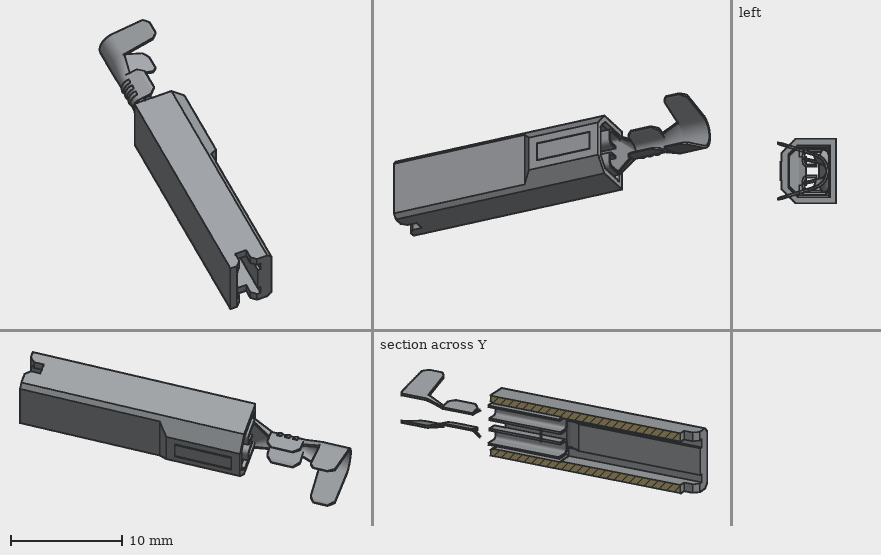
import cadquery as cq
import math


overall_length = 30.05
extra = 0.3

housing_start = 9.15
housing_half_width = 2.9
housing_low_height = 4.05
ridge_height = 4.93
corner_chamfer = 1.3
ridge_flat_end = 16.07

notch_depth = 1.35
notch_low = 1.08
notch_high = 2.15
notch_chamfer = 0.45

mouth_floor = 0.55
mouth_roof = 4.33
mouth_half_width = 2.35
mouth_chamfer = 0.87
lead_in_length = 0.35
cavity_floor = 0.7
cavity_roof = 4.25
cavity_half_width = 2.15
cavity_chamfer = 0.8
cavity_end = 16.4
cavity_end_roof = 3.33
passage_roof = 2.97
passage_half_width = 2.07
passage_chamfer = 0.27
rib_half_width = 1.3
rib_bottom = 2.7
rib_slope_length = 1.2

label_start = 9.97
label_end = 15.25
label_half_width = 0.85
label_thickness = 0.1

sheet = 0.2
wing_tip_bevel = 0.05
terminal_floor = cavity_floor
flare_flat = 0.03

insulation_end = 2.58
insulation_radius = 1.65
insulation_tilt = 17.2
insulation_root = 1.85
insulation_shoulder = 4.8
insulation_tip = 5.25
insulation_tip_start = 0.87
insulation_tip_end = 2.2
insulation_taper = 0.27
insulation_lean = 0.3

wire_start = 4.27
wire_end = 7.35
wire_radius = 0.87
wire_tilt = 12.6
wire_shoulder = 2.43
wire_tip = 3.0
wire_tip_inset = 0.55
wire_taper = 0.4
bead_positions = (5.05, 5.8, 6.55)
bead_width = 0.42
bead_height = 0.1

neck_rim_rise = 0.1
wire_neck_rim = 1.75
flare_rim = 1.25

receptacle_start = 8.95
receptacle_end = 16.22
receptacle_half_width = 1.92
bend_radius = 0.48
curl_top = 3.03
curl_flank = 0.4
curl_lip = 1.75
tongue_start = 12.02
tongue_end = 14.42
tongue_half_width = 0.6
tongue_top = 1.55


def chamfered_section(x, floor, roof, half_width, chamfer):
    """Rectangle across X whose two roof corners are cut at 45 degrees."""
    side_top = roof - chamfer
    return cq.Workplane("YZ", origin=(x, 0, 0)).polyline([
        (floor, -half_width),
        (side_top, -half_width),
        (roof, chamfer - half_width),
        (roof, half_width - chamfer),
        (side_top, half_width),
        (floor, half_width),
    ]).close()


def side_prism(points, half_width):
    """Prism with an outline in X and Y, extruded both ways from Z = 0."""
    return cq.Workplane("XY").polyline(points).close().extrude(half_width, both=True)


def housing_outside():
    body = chamfered_section(
        housing_start, 0, ridge_height, housing_half_width, corner_chamfer
    ).extrude(overall_length - housing_start)
    slope_end = ridge_flat_end + ridge_height - housing_low_height
    above_low_part = side_prism([
        (ridge_flat_end, ridge_height),
        (slope_end, housing_low_height),
        (overall_length + extra, housing_low_height),
        (overall_length + extra, ridge_height),
    ], housing_half_width)
    return body.cut(above_low_part)


def end_notch():
    notch_floor = overall_length - notch_depth
    chamfer_start = overall_length - notch_chamfer
    return side_prism([
        (notch_floor, notch_low),
        (chamfer_start, notch_low),
        (overall_length, notch_low - notch_chamfer),
        (overall_length, notch_high + notch_chamfer),
        (chamfer_start, notch_high),
        (notch_floor, notch_high),
    ], housing_half_width)


def cavity():
    lead_in_end = housing_start + lead_in_length
    mouth = chamfered_section(
        housing_start, mouth_floor, mouth_roof, mouth_half_width, mouth_chamfer
    )
    throat = chamfered_section(
        lead_in_end, cavity_floor, cavity_roof, cavity_half_width, cavity_chamfer
    )
    lead_in = cq.Workplane(cq.Solid.makeLoft([mouth.wire().val(), throat.wire().val()], True))
    chamber = throat.extrude(cavity_end - lead_in_end)
    roof_drop = cavity_roof - cavity_end_roof
    roof_slope = side_prism([
        (cavity_end - roof_drop, cavity_roof),
        (cavity_end, cavity_end_roof),
        (cavity_end, cavity_roof),
    ], cavity_half_width)
    return lead_in.union(chamber.cut(roof_slope))


def passage():
    """Opening from the cavity to the far end, with its floor corners cut at 45 degrees."""
    depth = overall_length - cavity_end
    opening = (
        cq.Workplane("XY")
        .box(depth, passage_roof - cavity_floor, 2 * passage_half_width, centered=(False, False, True))
        .translate((cavity_end, cavity_floor, 0))
        .edges("|X and <Y")
        .chamfer(passage_chamfer)
    )
    slope_end = cavity_end + rib_slope_length
    relief = side_prism([
        (cavity_end, passage_roof - extra),
        (cavity_end, cavity_end_roof),
        (slope_end, rib_bottom),
    ], rib_half_width)
    rib = side_prism([
        (cavity_end, cavity_end_roof),
        (overall_length, cavity_end_roof),
        (overall_length, rib_bottom),
        (slope_end, rib_bottom),
    ], rib_half_width)
    return opening.union(relief).cut(rib)


def make_housing():
    return housing_outside().cut(cavity()).cut(passage()).cut(end_notch())


def make_label():
    return (
        cq.Workplane("XY")
        .box(label_end - label_start, label_thickness, 2 * label_half_width,
             centered=(False, False, True))
        .translate((label_start, ridge_height, 0))
    )


def mirrored(point):
    return point[0], -point[1]


def unchanged(point):
    return point


def channel_section(x, flat, radius, tilt, rim, tip_length=0.0):
    """U-shaped sheet section across X: flat floor, round bends and sides leaning out by `tilt`.

    With a tip length, the sheet tapers on both faces over that length below the rim.
    """
    lean = math.radians(tilt)
    middle = (math.pi / 2 + lean) / 2
    centre = terminal_floor + radius
    outer_root = centre - radius * math.sin(lean)
    side = (rim - outer_root) / math.cos(lean)

    def bend_point(depth, angle):
        reach = radius - depth
        return centre - reach * math.sin(angle), flat + reach * math.cos(angle)

    def side_point(depth, distance):
        y, z = bend_point(depth, lean)
        return y + distance * math.cos(lean), z + distance * math.sin(lean)

    bevel = wing_tip_bevel if tip_length else 0
    rim_points = [side_point(bevel, side), side_point(sheet - bevel, side)]
    if tip_length:
        taper_start = side - tip_length
        rim_points.insert(0, side_point(0, taper_start))
        rim_points.append(side_point(sheet, taper_start))

    def add_floor(path, depth, turn):
        """Continue the path under the channel; `turn` maps points when running towards -Z."""
        path_end = turn(bend_point(depth, lean))
        if not flat:
            return path.threePointArc(bend_point(depth, math.pi / 2), path_end)
        floor = terminal_floor + depth
        first_side = mirrored(turn((floor, flat)))
        path = path.threePointArc(mirrored(turn(bend_point(depth, middle))), first_side)
        path = path.lineTo(*turn((floor, flat)))
        return path.threePointArc(turn(bend_point(depth, middle)), path_end)

    section = cq.Workplane("YZ", origin=(x, 0, 0)).moveTo(*mirrored(bend_point(0, lean)))
    section = add_floor(section, 0, unchanged)
    for point in rim_points:
        section = section.lineTo(*point)
    section = section.lineTo(*bend_point(sheet, lean))
    section = add_floor(section, sheet, mirrored)
    for point in reversed(rim_points):
        section = section.lineTo(*mirrored(point))
    return section.close()


def insulation_barrel():
    barrel = channel_section(
        0, 0, insulation_radius, insulation_tilt, insulation_tip, insulation_taper
    ).extrude(insulation_end)
    outline = side_prism([
        (0, terminal_floor),
        (0, insulation_root),
        (insulation_lean, insulation_shoulder),
        (insulation_tip_start, insulation_tip),
        (insulation_tip_end, insulation_tip),
        (insulation_end, insulation_shoulder),
        (insulation_end, terminal_floor),
    ], housing_half_width)
    return barrel.intersect(outline)


def wire_barrel():
    barrel = channel_section(
        wire_start, 0, wire_radius, wire_tilt, wire_tip, wire_taper
    ).extrude(wire_end - wire_start)
    outline = side_prism([
        (wire_start, terminal_floor),
        (wire_start, wire_shoulder),
        (wire_start + wire_tip_inset, wire_tip),
        (wire_end - wire_tip_inset, wire_tip),
        (wire_end, wire_shoulder),
        (wire_end, terminal_floor),
    ], housing_half_width)
    return barrel.intersect(outline)


def bead(x):
    """Half-round bead pressed out around the lower half of the wire barrel."""
    axis_height = terminal_floor + wire_radius
    sweep = 180 - 2 * wire_tilt
    skin = terminal_floor + sheet / 2
    profile = (
        cq.Workplane("XY")
        .moveTo(x - bead_width / 2, skin)
        .lineTo(x - bead_width / 2, terminal_floor)
        .threePointArc((x, terminal_floor - bead_height), (x + bead_width / 2, terminal_floor))
        .lineTo(x + bead_width / 2, skin)
        .close()
    )
    ring = profile.revolve(sweep, (x, axis_height, 0), (x + 0.3, axis_height, 0))
    return ring.rotate((x, axis_height, 0), (x + 0.3, axis_height, 0), -sweep / 2)


def ruled_loft(*sections):
    return cq.Workplane(cq.Solid.makeLoft([section.wire().val() for section in sections], True))


def insulation_neck():
    return ruled_loft(
        channel_section(insulation_end, 0, insulation_radius, insulation_tilt,
                        insulation_root + neck_rim_rise),
        channel_section(wire_start, 0, wire_radius, wire_tilt, wire_neck_rim),
    )


def flared_neck():
    receptacle_flat = receptacle_half_width - bend_radius
    return ruled_loft(
        channel_section(wire_end, flare_flat, wire_radius - flare_flat, wire_tilt, wire_neck_rim),
        channel_section(receptacle_start, receptacle_flat, bend_radius, 0, flare_rim),
    )


def curl():
    """Rolled edge of the receptacle on the +Z side: an inverted U of sheet."""
    length = receptacle_end - receptacle_start

    def rounded_bar(inset):
        bar = cq.Workplane("XY").box(
            length,
            curl_top - inset - curl_lip,
            receptacle_half_width - curl_flank - 2 * inset,
            centered=False,
        )
        bar = bar.edges("|X and >Y").fillet(bend_radius - inset)
        return bar.translate((receptacle_start, curl_lip, curl_flank + inset))

    return rounded_bar(0).cut(rounded_bar(sheet))


def locking_tongue():
    inside_floor = terminal_floor + sheet
    return side_prism([
        (tongue_start, inside_floor),
        (tongue_end, inside_floor),
        (tongue_end, tongue_top),
    ], tongue_half_width)


def receptacle():
    channel = channel_section(
        receptacle_start, receptacle_half_width - bend_radius, bend_radius, 0, curl_lip
    ).extrude(receptacle_end - receptacle_start)
    right_curl = curl()
    left_curl = right_curl.mirror("XY")
    return channel.union(right_curl).union(left_curl).union(locking_tongue())


def make_terminal():
    terminal = insulation_barrel().union(insulation_neck())
    terminal = terminal.union(wire_barrel())
    terminal = terminal.union(flared_neck()).union(receptacle())
    for position in bead_positions:
        terminal = terminal.union(bead(position))
    return terminal


housing = make_housing()
label = make_label()
terminal = make_terminal()

result = cq.Compound.makeCompound([*housing.solids().vals(), *label.solids().vals(), *terminal.solids().vals()])